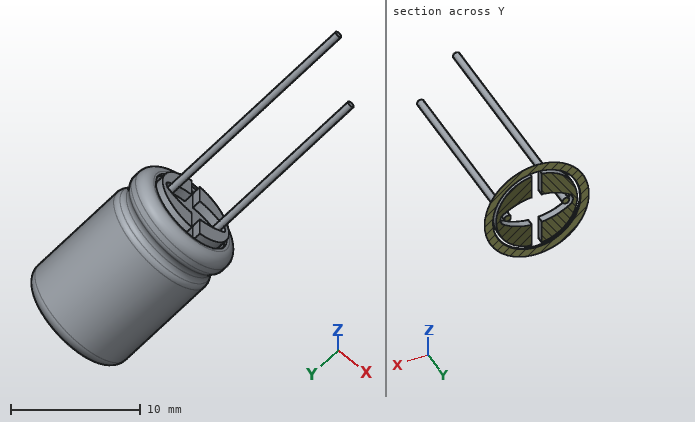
import cadquery as cq


can_radius = 5.0
can_length = 13.5
edge_radius = 1.0

groove_start = 1.5
groove_middle = 2.5
groove_end = 3.5
groove_depth = 0.4
lower_concave_share = 0.6
upper_concave_share = 0.5

recess_radius = 3.75
recess_depth = 0.3

standoff_radius = 3.5
standoff_projection = 0.5
standoff_gap = 0.85

lead_diameter = 0.6
lead_spacing = 5.0
lead_x = lead_spacing / 2
long_lead_drop = 19.0
short_lead_drop = 15.0

vent_tip_radius = 0.6
vent_half_width = 1.375
vent_side_radius = (lead_x**2 + vent_half_width**2 - vent_tip_radius**2) / (
    2 * (vent_half_width - vent_tip_radius)
)

rim_y = standoff_projection
can_top_y = rim_y + can_length
recess_floor_y = rim_y + recess_depth
groove_floor_radius = can_radius - groove_depth


def plane_at(y):
    """Workplane square to the can axis at height y, with its normal along +Y."""
    return cq.Workplane(cq.Plane(origin=(0, y, 0), xDir=(1, 0, 0), normal=(0, 1, 0)))


def flank_joint(can_side, concave_share):
    """Point where the two arcs of a groove flank meet, on the line joining the flank's ends."""
    radius = groove_floor_radius + concave_share * groove_depth
    height = groove_middle + concave_share * (can_side - groove_middle)
    return (radius, rim_y + height)


def make_can():
    """Solid of revolution with rounded ends, a crimp groove and a recessed seal end."""
    profile = (
        cq.Workplane("XY")
        .moveTo(0, recess_floor_y)
        .lineTo(recess_radius, recess_floor_y)
        .lineTo(recess_radius, rim_y)
        .lineTo(can_radius - edge_radius, rim_y)
        .tangentArcPoint((can_radius, rim_y + edge_radius), relative=False)
        .lineTo(can_radius, rim_y + groove_start)
        .tangentArcPoint(flank_joint(groove_start, lower_concave_share), relative=False)
        .tangentArcPoint((groove_floor_radius, rim_y + groove_middle), relative=False)
        .tangentArcPoint(flank_joint(groove_end, upper_concave_share), relative=False)
        .tangentArcPoint((can_radius, rim_y + groove_end), relative=False)
        .lineTo(can_radius, can_top_y - edge_radius)
        .tangentArcPoint((can_radius - edge_radius, can_top_y), relative=False)
        .lineTo(0, can_top_y)
        .close()
    )
    return profile.revolve(360, (0, 0, 0), (0, 1, 0))


def make_vent(height):
    """Pointed oval prism around both leads, standing on the plane of the standoff feet."""
    side_centre_offset = vent_side_radius - vent_half_width
    tip_scale = vent_tip_radius / (vent_side_radius - vent_tip_radius)
    joint_x = lead_x * (1 + tip_scale)
    joint_z = side_centre_offset * tip_scale
    tip_x = lead_x + vent_tip_radius
    return (
        plane_at(0)
        .moveTo(-joint_x, joint_z)
        .threePointArc((0, vent_half_width), (joint_x, joint_z))
        .threePointArc((tip_x, 0), (joint_x, -joint_z))
        .threePointArc((0, -vent_half_width), (-joint_x, -joint_z))
        .threePointArc((-tip_x, 0), (-joint_x, joint_z))
        .close()
        .extrude(height)
    )


def make_standoff(side):
    """C-shaped half disc around the oval vent; side is -1 for the -X half, +1 for the +X half."""
    height = recess_floor_y
    centre_x = side * (standoff_gap / 2 + standoff_radius)
    disc = plane_at(0).circle(standoff_radius).extrude(height)
    half_block = plane_at(0).center(centre_x, 0).rect(2 * standoff_radius, 2 * standoff_radius)
    half_disc = disc.intersect(half_block.extrude(height))
    return half_disc.cut(make_vent(height))


def make_lead(x, drop):
    """Round wire from the recess floor to the given distance below the standoff feet."""
    return plane_at(-drop).center(x, 0).circle(lead_diameter / 2).extrude(drop + recess_floor_y)


can = make_can()
standoffs = [make_standoff(side) for side in (-1, 1)]
leads = [make_lead(x, drop) for x, drop in ((-lead_x, long_lead_drop), (lead_x, short_lead_drop))]

bodies = [can, *standoffs, *leads]
result = cq.Compound.makeCompound([solid for body in bodies for solid in body.solids().vals()])